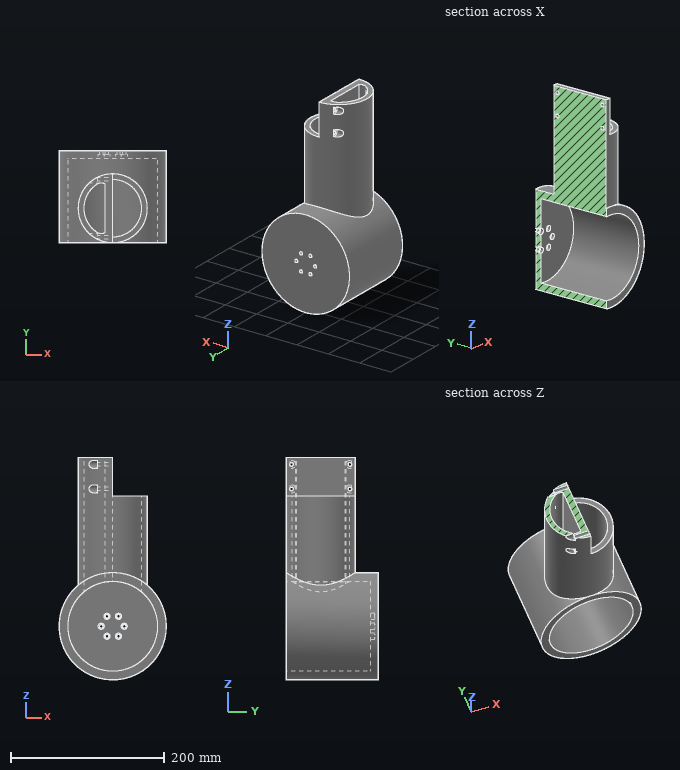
import cadquery as cq

DRUM_RADIUS = 70.0
DRUM_LENGTH = 120.0
DRUM_WALL = 11.5
END_PLATE_THICKNESS = 10.0
BORE_RADIUS = DRUM_RADIUS - DRUM_WALL
DRUM_FRONT_Y = -DRUM_LENGTH / 2
DRUM_BACK_Y = DRUM_LENGTH / 2
PLATE_INNER_Y = DRUM_BACK_Y - END_PLATE_THICKNESS

POST_RADIUS = 45.0
POST_WALL = 7.5
POST_INNER_RADIUS = POST_RADIUS - POST_WALL
POST_Y = DRUM_FRONT_Y + POST_RADIUS
POST_TOP_Z = 220.0
STEP_HEIGHT = 50.0
STEP_Z = POST_TOP_Z - STEP_HEIGHT

WEB_THICKNESS = 10.0
ROUNDED_EDGE_X = -WEB_THICKNESS / 2
LEFT_CHANNEL_FILLET = 10.0

SCREW_HOLE_DIAMETER = 4.5
SCREW_HEAD_DIAMETER = 10.5
SCREW_SEAT_X = -20.0
SCREW_OFFSET_Y = 38.0
SCREW_TOP_MARGIN = 9.0
SCREW_SPACING_Z = 32.0

BOLT_COUNT = 6
BOLT_CIRCLE_RADIUS = 15.0
BOLT_HOLE_DIAMETER = 4.5
BOLT_HEAD_DIAMETER = 8.0
BOLT_HEAD_DEPTH = 5.0


def box_between(x_range, y_range, z_range):
    """Axis-aligned box given by its lower and upper limits."""
    corner = (x_range[0], y_range[0], z_range[0])
    size = [high - low for low, high in (x_range, y_range, z_range)]
    return cq.Workplane("XY").box(*size, centered=False).translate(corner)


def cylinder_along_y(radius, start_y, end_y):
    """Cylinder on the drum axis."""
    return cq.Workplane("XZ", origin=(0, start_y, 0)).circle(radius).extrude(start_y - end_y)


def cylinder_along_x(diameter, y, z, start_x, end_x):
    """Cylinder parallel to X."""
    return cq.Workplane("YZ", origin=(start_x, y, z)).circle(diameter / 2).extrude(end_x - start_x)


def post_cylinder(radius):
    """Vertical cylinder on the post axis, from the drum axis to the top of the post."""
    return cq.Workplane("XY", origin=(0, POST_Y, 0)).circle(radius).extrude(POST_TOP_Z)


def make_body():
    """Solid drum and post, with the +X half of the post cut lower."""
    drum = cylinder_along_y(DRUM_RADIUS, DRUM_FRONT_Y, DRUM_BACK_Y)
    step = box_between(
        (0, POST_RADIUS),
        (POST_Y - POST_RADIUS, POST_Y + POST_RADIUS),
        (STEP_Z, POST_TOP_Z),
    )
    return drum.union(post_cylinder(POST_RADIUS).cut(step))


def channel_between(start_x, end_x):
    """Part of the post's inside between two X limits, running down into the drum bore."""
    limits = box_between(
        (start_x, end_x),
        (POST_Y - POST_RADIUS, POST_Y + POST_RADIUS),
        (0, POST_TOP_Z),
    )
    return post_cylinder(POST_INNER_RADIUS).intersect(limits)


def cut_channels(body):
    """Left channel with rounded corners beside the web, and plain half-round right channel."""
    left = channel_between(-POST_RADIUS, ROUNDED_EDGE_X)
    left = left.faces(">X").edges("|Z").fillet(LEFT_CHANNEL_FILLET)
    left = left.intersect(channel_between(-POST_RADIUS, -WEB_THICKNESS))
    right = channel_between(0, POST_RADIUS)
    return body.cut(left).cut(right)


def cut_screw_holes(body):
    """Two rows of screw holes, one on each side of the left channel."""
    first_z = POST_TOP_Z - SCREW_TOP_MARGIN
    for y in (POST_Y - SCREW_OFFSET_Y, POST_Y + SCREW_OFFSET_Y):
        for z in (first_z, first_z - SCREW_SPACING_Z):
            body = body.cut(cylinder_along_x(SCREW_HEAD_DIAMETER, y, z, -POST_RADIUS, SCREW_SEAT_X))
            body = body.cut(cylinder_along_x(SCREW_HOLE_DIAMETER, y, z, SCREW_SEAT_X, POST_RADIUS))
    return body


def cut_bolt_holes(body):
    """Bolt circle in the end plate, with the heads sunk from inside the drum."""
    plate = cq.Workplane("XZ", origin=(0, PLATE_INNER_Y, 0))
    spots = plate.polarArray(BOLT_CIRCLE_RADIUS, 0, 360, BOLT_COUNT)
    heads = spots.circle(BOLT_HEAD_DIAMETER / 2).extrude(-BOLT_HEAD_DEPTH)
    shanks = spots.circle(BOLT_HOLE_DIAMETER / 2).extrude(-END_PLATE_THICKNESS)
    return body.cut(heads).cut(shanks)


body = make_body()
body = body.cut(cylinder_along_y(BORE_RADIUS, DRUM_FRONT_Y, PLATE_INNER_Y))
body = cut_channels(body)
body = cut_screw_holes(body)
result = cut_bolt_holes(body)